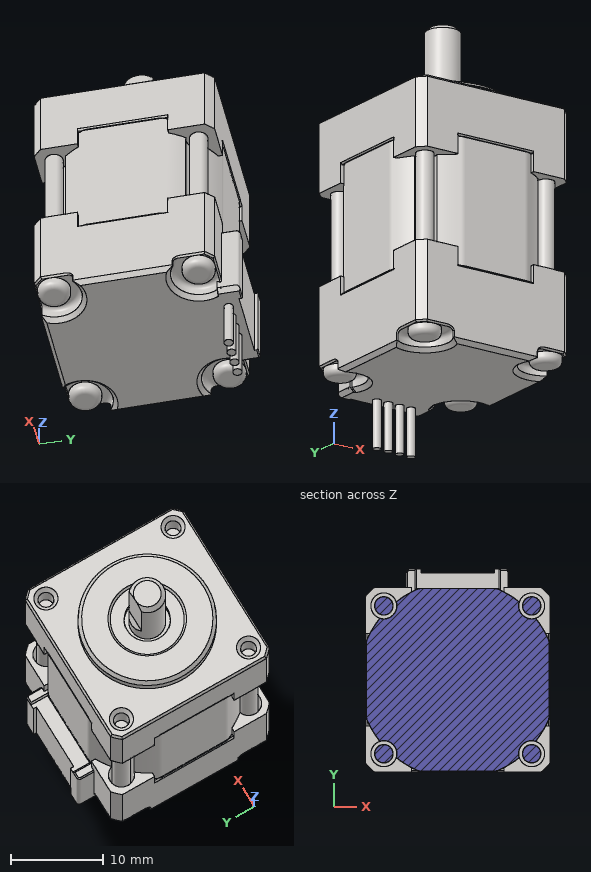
import cadquery as cq
import math

BODY_SIDE = 20.0
BODY_HALF = BODY_SIDE / 2
BODY_HEIGHT = 30.0
CORNER_RADIUS = 13.5
FRONT_EDGE_CHAMFER = 0.25
REAR_EDGE_CHAMFER = 0.5

REAR_HOUSING_TOP = 11.0
FRONT_HOUSING_BOTTOM = 21.7
NOTCH_WIDTH = 10.0
STATOR_BOTTOM = 9.0
STATOR_TOP = 23.85
NOTCH_CHAMFER = 0.2

STATOR_RADIUS = 10.75
STATOR_ACROSS_FLATS = 19.8
STATOR_EDGE_FILLET = 1.0

SCREW_OFFSET = 8.0
SCREW_DIAMETER = 2.0
SCREW_CLEARANCE_DIAMETER = 2.8
SCREW_ENGAGEMENT = 2.0
SCREW_TOP = FRONT_HOUSING_BOTTOM + SCREW_ENGAGEMENT
HEAD_DIAMETER = 3.6
HEAD_BOTTOM = 0.4
HEAD_FILLET = 0.7
RECESS_RADIUS = 3.05
RECESS_DEPTH = 1.6
RECESS_FILLET = 0.5
RECESS_LIP_CHAMFER = 0.2
EDGE_MARGIN = 0.1
MOUNT_HOLE_DIAMETER = 1.7
MOUNT_HOLE_DEPTH = 3.0
MOUNT_SINK_DIAMETER = 2.6
MOUNT_SINK_ANGLE = 90.0

PILOT_DIAMETER = 15.0
PILOT_HEIGHT = 1.5
PILOT_TOP = BODY_HEIGHT + PILOT_HEIGHT
PILOT_CHAMFER = 0.4
SEAT_RIM_DIAMETER = 8.5
SEAT_DIAMETER = 8.0
SEAT_DEPTH = 0.25
SHAFT_BORE_DIAMETER = 5.0
SHAFT_BORE_DEPTH = 1.0

SHAFT_DIAMETER = 4.0
SHAFT_TOP = 40.0
SHAFT_CHAMFER = 0.5
FLAT_DISTANCE = 1.5
FLAT_LENGTH = 7.0

CONNECTOR_WIDTH = 11.2
CONNECTOR_HEIGHT = 9.1
CONNECTOR_DEPTH = 2.0
CONNECTOR_CHAMFER = 0.15
CONNECTOR_CORNER_FILLET = 0.4
FACE_RECESS_WIDTH = 7.9
FACE_RECESS_DEPTH = 0.4
CHEEK_WIDTH = 0.95
CHEEK_RISE = 0.2
WIRE_DIAMETER = 1.0
WIRE_COUNT = 4
WIRE_PITCH = 1.5
FIRST_WIRE_X = -1.5
WIRE_Y = 10.25
WIRE_LENGTH = 5.6
WIRE_EMBED = 2.0

SCREW_POINTS = [(sx * SCREW_OFFSET, sy * SCREW_OFFSET) for sx in (-1, 1) for sy in (-1, 1)]


def cylinder(diameter, bottom, top, points=((0, 0),)):
    """Upright cylinders between two heights at the given XY points."""
    plane = cq.Workplane("XY").workplane(offset=bottom)
    return plane.pushPoints(points).circle(diameter / 2).extrude(top - bottom)


def box(x_range, y_range, z_range):
    """Axis-aligned box from its limits along each axis."""
    size = [high - low for low, high in (x_range, y_range, z_range)]
    corner = (x_range[0], y_range[0], z_range[0])
    return cq.Workplane("XY").box(*size, centered=False).translate(corner)


def housing_block(bottom, top):
    """Square block with its vertical corners trimmed by a cylinder about the shaft axis."""
    block = box((-BODY_HALF, BODY_HALF), (-BODY_HALF, BODY_HALF), (bottom, top))
    return block.intersect(cylinder(2 * CORNER_RADIUS, bottom, top))


def cut_side_notches(housing, floor_z, open_z):
    """Cut a notch across each pair of sides, its floor edge chamfered at the outer faces."""
    slope = math.copysign(NOTCH_CHAMFER, floor_z - open_z)
    profile = [
        (-BODY_HALF, open_z),
        (-BODY_HALF, floor_z + slope),
        (-BODY_HALF + NOTCH_CHAMFER, floor_z),
        (BODY_HALF - NOTCH_CHAMFER, floor_z),
        (BODY_HALF, floor_z + slope),
        (BODY_HALF, open_z),
    ]
    notch = cq.Workplane("XZ").polyline(profile).close().extrude(NOTCH_WIDTH / 2, both=True)
    return housing.cut(notch).cut(notch.rotate((0, 0, 0), (0, 0, 1), 90))


def make_front_housing():
    housing = housing_block(FRONT_HOUSING_BOTTOM, BODY_HEIGHT)
    housing = housing.faces(">Z").edges().chamfer(FRONT_EDGE_CHAMFER)
    housing = cut_side_notches(housing, STATOR_TOP, FRONT_HOUSING_BOTTOM)
    return (
        housing.faces(">Z")
        .workplane(origin=(0, 0, BODY_HEIGHT))
        .pushPoints(SCREW_POINTS)
        .cskHole(MOUNT_HOLE_DIAMETER, MOUNT_SINK_DIAMETER, MOUNT_SINK_ANGLE, MOUNT_HOLE_DEPTH)
    )


def recess_lips():
    """Select the edges where the screw recesses break through the outer faces."""
    lip_bottom = REAR_EDGE_CHAMFER + EDGE_MARGIN
    lip_top = RECESS_DEPTH + EDGE_MARGIN

    def centred_box(half):
        return cq.selectors.BoxSelector((-half, -half, lip_bottom), (half, half, lip_top))

    return centred_box(BODY_SIDE) - centred_box(SCREW_OFFSET + SCREW_DIAMETER / 2)


def make_rear_housing():
    housing = housing_block(0, REAR_HOUSING_TOP)
    recesses = cylinder(2 * RECESS_RADIUS, 0, RECESS_DEPTH, SCREW_POINTS)
    recesses = recesses.faces(">Z").edges().fillet(RECESS_FILLET)
    housing = housing.cut(recesses)
    housing = housing.faces("<Z").edges().chamfer(REAR_EDGE_CHAMFER)
    housing = housing.edges(recess_lips()).chamfer(RECESS_LIP_CHAMFER)
    housing = cut_side_notches(housing, STATOR_BOTTOM, REAR_HOUSING_TOP)
    return housing.cut(cylinder(SCREW_CLEARANCE_DIAMETER, 0, REAR_HOUSING_TOP, SCREW_POINTS))


def make_stator():
    """Round stack with four flats, rounded flat edges and grooves that clear the screws."""
    half_flats = STATOR_ACROSS_FLATS / 2
    limits = (-half_flats, half_flats)
    stack = box(limits, limits, (STATOR_BOTTOM, STATOR_TOP))
    stack = stack.intersect(cylinder(2 * STATOR_RADIUS, STATOR_BOTTOM, STATOR_TOP))
    stack = stack.edges("|Z").fillet(STATOR_EDGE_FILLET)
    return stack.cut(cylinder(SCREW_CLEARANCE_DIAMETER, STATOR_BOTTOM, STATOR_TOP, SCREW_POINTS))


def make_screws():
    rods = cylinder(SCREW_DIAMETER, HEAD_BOTTOM + HEAD_FILLET, SCREW_TOP, SCREW_POINTS)
    heads = cylinder(HEAD_DIAMETER, HEAD_BOTTOM, RECESS_DEPTH, SCREW_POINTS)
    heads = heads.faces("<Z").edges().fillet(HEAD_FILLET)
    return rods.union(heads)


def make_pilot():
    pilot = cylinder(PILOT_DIAMETER, BODY_HEIGHT, PILOT_TOP)
    return pilot.faces(">Z").edges().chamfer(PILOT_CHAMFER)


def make_bearing_seat():
    """Cutter for the shallow conical-rimmed seat and the clearance bore around the shaft."""
    seat = (
        cq.Workplane("XY")
        .workplane(offset=PILOT_TOP)
        .circle(SEAT_RIM_DIAMETER / 2)
        .workplane(offset=-SEAT_DEPTH)
        .circle(SEAT_DIAMETER / 2)
        .loft(ruled=True)
    )
    return seat.union(cylinder(SHAFT_BORE_DIAMETER, PILOT_TOP - SHAFT_BORE_DEPTH, PILOT_TOP))


def make_shaft():
    radius = SHAFT_DIAMETER / 2
    shaft = cylinder(SHAFT_DIAMETER, BODY_HEIGHT, SHAFT_TOP)
    shaft = shaft.faces(">Z").edges().chamfer(SHAFT_CHAMFER)
    flat_bottom = SHAFT_TOP - FLAT_LENGTH
    run_out = radius - FLAT_DISTANCE
    flat_profile = [
        (FLAT_DISTANCE, SHAFT_TOP),
        (FLAT_DISTANCE, flat_bottom),
        (radius, flat_bottom - run_out),
        (radius, SHAFT_TOP),
    ]
    flat = cq.Workplane("YZ").polyline(flat_profile).close().extrude(radius, both=True)
    return shaft.cut(flat)


def make_connector():
    half_width = CONNECTOR_WIDTH / 2
    outer_y = BODY_HALF + CONNECTOR_DEPTH
    inner_y = BODY_HALF - REAR_EDGE_CHAMFER
    shell = box((-half_width, half_width), (inner_y, outer_y), (0, CONNECTOR_HEIGHT))
    shell = shell.faces("<Z").edges("|Y").chamfer(REAR_EDGE_CHAMFER)
    shell = shell.faces("<Z").edges(">Y").chamfer(CONNECTOR_CHAMFER)
    shell = shell.faces(">Y").edges("|Z").fillet(CONNECTOR_CORNER_FILLET)
    shell = shell.faces(">Z").edges("not(<Y)").chamfer(CONNECTOR_CHAMFER)
    face_half = FACE_RECESS_WIDTH / 2
    face_recess = box(
        (-face_half, face_half), (outer_y - FACE_RECESS_DEPTH, outer_y), (0, CONNECTOR_HEIGHT)
    )
    step_half = half_width - CHEEK_WIDTH
    step_floor = CONNECTOR_HEIGHT - CHEEK_RISE
    step_profile = [
        (-step_half, CONNECTOR_HEIGHT),
        (-step_half + CHEEK_RISE, step_floor),
        (step_half - CHEEK_RISE, step_floor),
        (step_half, CONNECTOR_HEIGHT),
    ]
    top_step = cq.Workplane("XZ").polyline(step_profile).close().extrude(-outer_y)
    return shell.cut(face_recess).cut(top_step)


def make_wires():
    points = [(FIRST_WIRE_X + i * WIRE_PITCH, WIRE_Y) for i in range(WIRE_COUNT)]
    return cylinder(WIRE_DIAMETER, -WIRE_LENGTH, WIRE_EMBED, points)


front_end = make_front_housing().union(make_pilot()).cut(make_bearing_seat()).union(make_shaft())
rear_end = make_rear_housing().union(make_connector()).union(make_wires())
result = front_end.union(rear_end).union(make_stator()).union(make_screws())